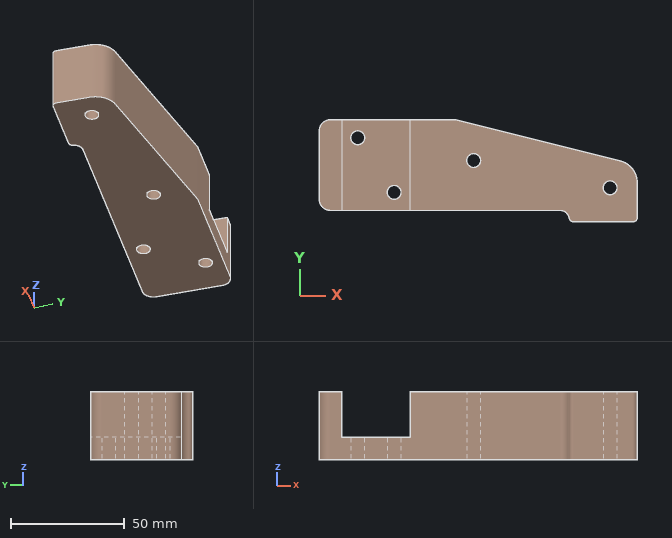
import cadquery as cq
import math

length = 140.0
width = 45.0
height = 30.0

foot_depth = 5.0
taper_start_x = 60.0
taper_end_y = 25.0
left_corner_radius = 5.0
nose_radius = 10.0
foot_corner_radius = 2.0

relief_start_x = 106.0
relief_radius = 4.0

slot_start_x = 10.0
slot_length = 30.0
slot_floor_z = 10.0

hole_diameter = 6.0
hole_centers = [(17.0, 37.0), (33.0, 13.0), (68.0, 27.0), (128.0, 15.0)]


def arc_point(center, radius, angle):
    """Point on a circle at the given angle in radians."""
    return (center[0] + radius * math.cos(angle), center[1] + radius * math.sin(angle))


def make_body():
    """Extruded plan outline, with its corners rounded."""
    relief_center = (relief_start_x, foot_depth - relief_radius)
    center_distance = relief_radius + foot_corner_radius
    join_angle = math.asin((foot_corner_radius - relief_center[1]) / center_distance)
    foot_center = arc_point(relief_center, center_distance, join_angle)

    join_point = arc_point(relief_center, relief_radius, join_angle)
    relief_middle = arc_point(relief_center, relief_radius, (math.pi / 2 + join_angle) / 2)
    foot_start_angle = math.pi + join_angle
    foot_end_angle = 3 * math.pi / 2
    foot_middle = arc_point(foot_center, foot_corner_radius, (foot_start_angle + foot_end_angle) / 2)

    body = (
        cq.Workplane("XY")
        .moveTo(0, foot_depth)
        .lineTo(relief_start_x, foot_depth)
        .threePointArc(relief_middle, join_point)
        .threePointArc(foot_middle, (foot_center[0], 0))
        .lineTo(length, 0)
        .lineTo(length, taper_end_y)
        .lineTo(taper_start_x, width)
        .lineTo(0, width)
        .close()
        .extrude(height)
    )
    body = body.edges("|Z and <X").fillet(left_corner_radius)
    body = round_end_corner(body, taper_end_y, nose_radius)
    return round_end_corner(body, 0, foot_corner_radius)


def round_end_corner(body, corner_y, radius):
    """Round the upright edge of the +X end that stands at the given Y."""
    corner = cq.selectors.NearestToPointSelector((length, corner_y, height / 2))
    return body.edges("|Z").edges(corner).fillet(radius)


def make_slot():
    """Block removed to form the cross slot."""
    return cq.Workplane("XY").box(
        slot_length, width, height - slot_floor_z, centered=False
    ).translate((slot_start_x, 0, slot_floor_z))


def make_holes():
    """Cylinders removed to form the through holes."""
    return cq.Workplane("XY").pushPoints(hole_centers).circle(hole_diameter / 2).extrude(height)


result = make_body().cut(make_slot()).cut(make_holes())